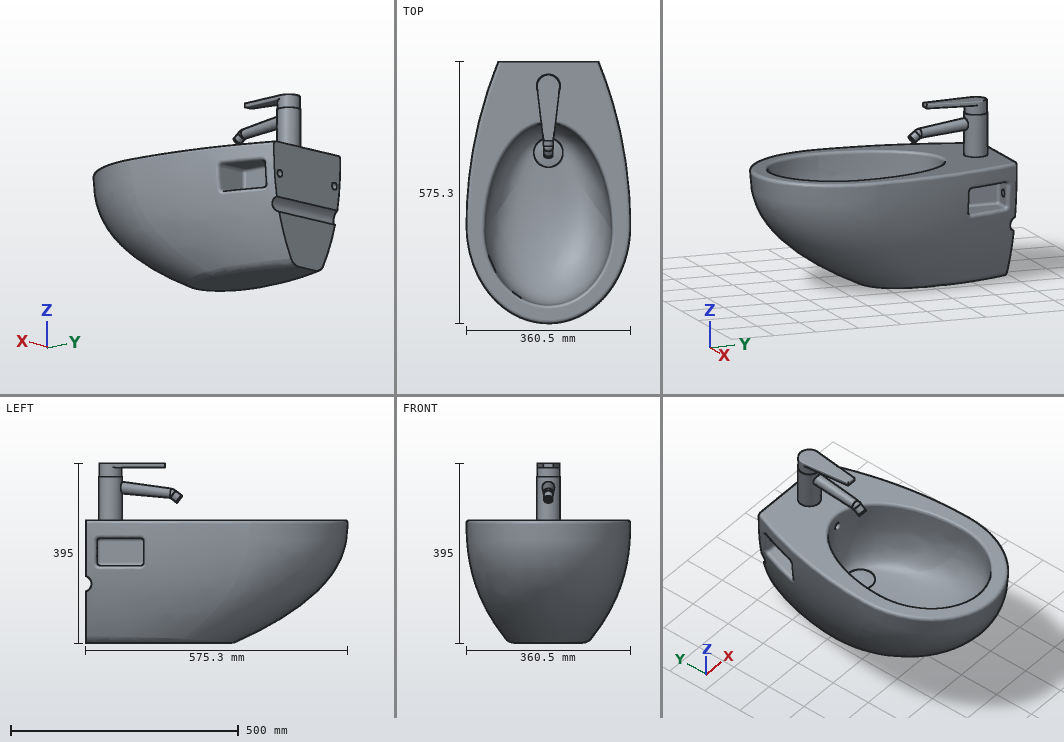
import cadquery as cq
import math


basin_height = 270.0
basin_length = 575.33
basin_half_width = 180.25
basin_widest_y = -360.0
basin_back_half_width = 110.0
foot_length = 324.0
foot_half_width = 86.0
foot_widest_y = -199.0
foot_back_half_width = 45.0
taper_exponent = 2.4
shell_section_count = 9
top_edge_radius = 7.5
foot_edge_radius = 26.0

bowl_edge_radius = 6.5
bowl_half_width = 140.0
bowl_widest_y = -371.0
bowl_back_y = -134.5
bowl_front_y = -535.5
bowl_floor_z = 114.5
bowl_wall_exponent = 2.5
bowl_section_count = 9
drain_y = -200.0
drain_radius = 22.0

overflow_diameter = 16.0
overflow_edge_radius = 2.2
overflow_z = 234.5
overflow_depth = 20.0
pocket_length = 103.0
pocket_height = 60.0
pocket_y = -76.0
pocket_z = 200.0
pocket_end_x = 65.0
pocket_corner_radius = 7.5
pocket_end_radius = 7.0
pocket_rim_radius = 7.5
bolt_hole_diameter = 16.0
bolt_hole_x = 90.0
pipe_groove_diameter = 35.0
pipe_groove_z = 130.0
pipe_groove_axis_y = 5.5

plug_diameter = 64.0
plug_edge_height = 2.0
plug_seat_depth = 0.5
plug_dome_height = 3.0
plug_edge_radius = 1.2

tap_y = -54.0
column_diameter = 52.0
column_height = 95.0
head_diameter = 50.0
head_height = 30.0
lever_reach = 120.0
lever_thickness = 10.0
lever_tip_width = 22.0
lever_edge_radius = 2.2
spout_slope = 6.5
spout_length = 132.0
spout_axis_z = 344.0
spout_root_diameter = 28.0
spout_tip_diameter = 21.5
joint_ball_diameter = 21.5
joint_gap = 6.4
nozzle_slope = 37.5
nozzle_diameter = 20.0
nozzle_length = 18.7
aerator_diameter = 16.0
aerator_thickness = 3.0
aerator_hole_diameter = 1.2
aerator_ring_pitch = 2.2
aerator_ring_count = 3
aerator_holes_per_ring_step = 6

through = 1000.0
select_margin = 1.0


def blend(start, end, fraction):
    return start + (end - start) * fraction


def half_ellipse(center_y, half_width, half_length, z, first_angle):
    """Half of an ellipse centred on X = 0: the front half from 180 degrees, the back half from 0."""
    return cq.Edge.makeEllipse(
        half_width,
        half_length,
        cq.Vector(0, center_y, z),
        angle1=first_angle,
        angle2=first_angle + 180,
    )


def basin_section(z):
    """Straight back edge and two side arcs that run tangent into a half-elliptic front."""
    taper = (1 - z / basin_height) ** taper_exponent
    half_width = blend(basin_half_width, foot_half_width, taper)
    back_half_width = blend(basin_back_half_width, foot_back_half_width, taper)
    widest_y = blend(basin_widest_y, foot_widest_y, taper)
    front_y = blend(-basin_length, -foot_length, taper)

    inset = half_width - back_half_width
    arc_radius = (widest_y**2 + inset**2) / (2 * inset)
    half_angle = math.asin(-widest_y / arc_radius) / 2
    mid_x = half_width - arc_radius * (1 - math.cos(half_angle))
    mid_y = widest_y + arc_radius * math.sin(half_angle)

    def at(x, y):
        return cq.Vector(x, y, z)

    back = cq.Edge.makeLine(at(back_half_width, 0), at(-back_half_width, 0))
    left = cq.Edge.makeThreePointArc(at(-back_half_width, 0), at(-mid_x, mid_y), at(-half_width, widest_y))
    front = half_ellipse(widest_y, half_width, widest_y - front_y, z, 180)
    right = cq.Edge.makeThreePointArc(at(half_width, widest_y), at(mid_x, mid_y), at(back_half_width, 0))
    return cq.Wire.assembleEdges([back, left, front, right])


def bowl_section(step):
    """Egg of two half ellipses, growing from the drain circle (step 0) to the rim (last step)."""
    angle = math.pi / 2 * step / (bowl_section_count - 1)
    spread = math.sin(angle) ** (2 / bowl_wall_exponent)
    depth = max(math.cos(angle), 0) ** (2 / bowl_wall_exponent)
    z = blend(basin_height, bowl_floor_z, depth)
    half_width = blend(drain_radius, bowl_half_width, spread)
    widest_y = blend(drain_y, bowl_widest_y, spread)
    back_y = blend(drain_y + drain_radius, bowl_back_y, spread)
    front_y = blend(drain_y - drain_radius, bowl_front_y, spread)
    front = half_ellipse(widest_y, half_width, widest_y - front_y, z, 180)
    back = half_ellipse(widest_y, half_width, back_y - widest_y, z, 0)
    return cq.Wire.assembleEdges([front, back])


def shell():
    """Solid outside form of the basin, rounded along the deck and the foot but not at the wall."""
    levels = [basin_height * i / (shell_section_count - 1) for i in range(shell_section_count)]
    body = cq.Workplane(cq.Solid.makeLoft([basin_section(z) for z in levels]))
    body = body.faces(">Z").edges("not >Y").fillet(top_edge_radius)
    return body.faces("<Z").edges("not >Y").fillet(foot_edge_radius)


def bowl():
    """Hollow of the basin as a solid."""
    return cq.Workplane(cq.Solid.makeLoft([bowl_section(i) for i in range(bowl_section_count)]))


def mount_pocket(side):
    """Pocket in the flank on the given side of X, rounded in all its inner corners."""
    return (
        cq.Workplane("YZ", origin=(side * pocket_end_x, pocket_y, pocket_z))
        .rect(pocket_length, pocket_height)
        .extrude(side * through)
        .edges("|X")
        .fillet(pocket_corner_radius)
        .faces("<X" if side > 0 else ">X")
        .edges()
        .fillet(pocket_end_radius)
    )


def bolt_hole(side):
    """Hole from the wall face into the pocket on the same side."""
    return (
        cq.Workplane("XZ", origin=(side * bolt_hole_x, 0, pocket_z))
        .circle(bolt_hole_diameter / 2)
        .extrude(-pocket_y)
    )


def overflow_hole():
    return (
        cq.Workplane("XZ", origin=(0, bowl_back_y + overflow_depth, overflow_z))
        .circle(overflow_diameter / 2)
        .extrude(2 * overflow_depth)
    )


def pipe_groove():
    return (
        cq.Workplane("YZ", origin=(0, pipe_groove_axis_y, pipe_groove_z))
        .circle(pipe_groove_diameter / 2)
        .extrude(through, both=True)
    )


def edges_around(center, reach):
    """Selector for edges that lie wholly within reach of a centre point along each axis."""
    low = [c - r - select_margin for c, r in zip(center, reach)]
    high = [c + r + select_margin for c, r in zip(center, reach)]
    return cq.selectors.BoxSelector(low, high, boundingbox=True)


def make_basin(drain_plug):
    body = shell().cut(bowl())
    rim_center = (0, (bowl_front_y + bowl_back_y) / 2, basin_height)
    rim_reach = (bowl_half_width, (bowl_back_y - bowl_front_y) / 2, 0)
    body = body.edges(edges_around(rim_center, rim_reach)).fillet(bowl_edge_radius)

    for side in (-1, 1):
        body = body.cut(mount_pocket(side))
        mouth_center = (side * basin_half_width, pocket_y, pocket_z)
        mouth_reach = (basin_half_width - bolt_hole_x, pocket_length / 2, pocket_height / 2)
        body = body.edges(edges_around(mouth_center, mouth_reach)).fillet(pocket_rim_radius)
        body = body.cut(bolt_hole(side))

    body = body.cut(overflow_hole())
    overflow_center = (0, bowl_back_y, overflow_z)
    overflow_reach = [overflow_diameter / 2] * 3
    body = body.edges(edges_around(overflow_center, overflow_reach)).edges("not |Y")
    body = body.fillet(overflow_edge_radius)
    return body.cut(pipe_groove()).cut(drain_plug)


def make_drain_plug():
    radius = plug_diameter / 2
    dome_radius = (radius**2 + plug_dome_height**2) / (2 * plug_dome_height)
    half_angle = math.asin(radius / dome_radius) / 2
    top = plug_edge_height + plug_dome_height
    mid = (dome_radius * math.sin(half_angle), top - dome_radius * (1 - math.cos(half_angle)))
    return (
        cq.Workplane("XZ")
        .lineTo(radius, 0)
        .lineTo(radius, plug_edge_height)
        .threePointArc(mid, (0, top))
        .close()
        .revolve(360, (0, 0), (0, 1))
        .edges(edges_around((0, 0, plug_edge_height), (radius, radius, 0)))
        .edges("%CIRCLE")
        .fillet(plug_edge_radius)
        .translate((0, drain_y, bowl_floor_z - plug_seat_depth))
    )


def make_column():
    return (
        cq.Workplane("XY", origin=(0, tap_y, basin_height))
        .circle(column_diameter / 2)
        .extrude(column_height)
    )


def make_lever():
    """Round head with a flat handle that narrows from the head to its tip."""
    radius = head_diameter / 2
    head_bottom = basin_height + column_height
    plate_bottom = head_bottom + head_height - lever_thickness
    head = (
        cq.Workplane("XY", origin=(0, tap_y, head_bottom))
        .circle(radius)
        .extrude(head_height)
        .faces(">Z")
        .edges()
        .fillet(lever_edge_radius)
    )
    tip_x = lever_tip_width / 2
    tip_distance = math.hypot(tip_x, lever_reach)
    tangent_angle = math.acos(radius / tip_distance) - math.atan2(lever_reach, tip_x)
    tangent_x = radius * math.cos(tangent_angle)
    tangent_y = radius * math.sin(tangent_angle)
    plate = (
        cq.Workplane("XY", origin=(0, tap_y, plate_bottom))
        .moveTo(tip_x, -lever_reach)
        .lineTo(tangent_x, tangent_y)
        .threePointArc((0, radius), (-tangent_x, tangent_y))
        .lineTo(-tip_x, -lever_reach)
        .close()
        .extrude(lever_thickness)
        .faces("<Z or >Z")
        .edges()
        .fillet(lever_edge_radius)
    )
    return head.union(plate)


def sloped_plane(point_y, point_z, slope):
    """Workplane facing -Y and tilted down by the slope in degrees."""
    angle = math.radians(slope)
    normal = cq.Vector(0, -math.cos(angle), -math.sin(angle))
    return cq.Workplane(cq.Plane((0, point_y, point_z), (1, 0, 0), normal))


def step_along(y, z, slope, distance):
    """Point at a distance from (y, z) toward -Y, going down by the slope in degrees."""
    angle = math.radians(slope)
    return y - distance * math.cos(angle), z - distance * math.sin(angle)


spout_tip = step_along(tap_y, spout_axis_z, spout_slope, spout_length)
joint_slope = (spout_slope + nozzle_slope) / 2
joint_center = step_along(*spout_tip, joint_slope, joint_gap / 2)
nozzle_root = step_along(*spout_tip, joint_slope, joint_gap)
nozzle_tip = step_along(*nozzle_root, nozzle_slope, nozzle_length)


def make_spout(column):
    cone = (
        sloped_plane(tap_y, spout_axis_z, spout_slope)
        .circle(spout_root_diameter / 2)
        .workplane(offset=spout_length)
        .circle(spout_tip_diameter / 2)
        .loft()
    )
    return cone.cut(column)


def make_joint_ball():
    """Ball cut flat where it meets the spout and the nozzle."""
    ball = cq.Workplane("XY").sphere(joint_ball_diameter / 2).translate((0, *joint_center))
    beyond_spout = sloped_plane(*spout_tip, spout_slope).circle(joint_ball_diameter).extrude(through)
    before_nozzle = sloped_plane(*nozzle_root, nozzle_slope).circle(joint_ball_diameter).extrude(-through)
    return ball.intersect(beyond_spout).intersect(before_nozzle)


def make_nozzle():
    body = sloped_plane(*nozzle_root, nozzle_slope).circle(nozzle_diameter / 2).extrude(nozzle_length)
    seat = sloped_plane(*nozzle_tip, nozzle_slope).circle(aerator_diameter / 2).extrude(-aerator_thickness)
    return body.cut(seat)


def make_aerator():
    """Disc flush with the nozzle tip, with rings of fine water holes around a central one."""
    face = sloped_plane(*nozzle_tip, nozzle_slope)
    disc = face.circle(aerator_diameter / 2).extrude(-aerator_thickness)
    holes = face.circle(aerator_hole_diameter / 2).extrude(-aerator_thickness)
    for ring in range(1, aerator_ring_count + 1):
        ring_holes = (
            face.polarArray(ring * aerator_ring_pitch, 0, 360, aerator_holes_per_ring_step * ring)
            .circle(aerator_hole_diameter / 2)
            .extrude(-aerator_thickness)
        )
        holes = holes.add(ring_holes)
    for hole in holes.vals():
        disc = disc.cut(cq.Workplane(hole))
    return disc


drain_plug = make_drain_plug()
basin = make_basin(drain_plug)
column = make_column()
lever = make_lever()
spout = make_spout(column)
joint_ball = make_joint_ball()
nozzle = make_nozzle()
aerator = make_aerator()

bodies = [basin, drain_plug, column, lever, spout, joint_ball, nozzle, aerator]
result = cq.Compound.makeCompound([body.solids().val() for body in bodies])